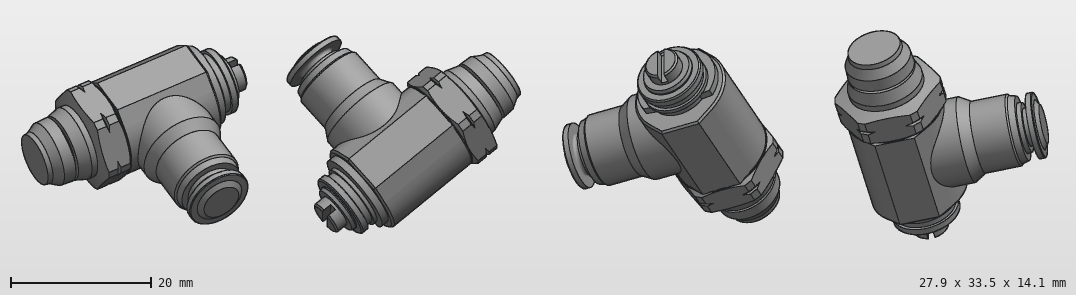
import cadquery as cq
import math

OVERALL_LENGTH = 33.5
OVERALL_WIDTH = 27.87
ACROSS_FLATS = 14.05
BODY_RADIUS = ACROSS_FLATS / 2
ACROSS_CORNERS = 15.5
CORNER_RADIUS = ACROSS_CORNERS / 2

HEX_START = 7.2
HEX_END = 11.72
BODY_START = 11.93
BODY_END = 26.75
CLIP_END = 27.9

LOWER_CHAMFER_RADIUS = 5.65
LOWER_CHAMFER_HEIGHT = 0.57
UPPER_CHAMFER_HEIGHT = 0.4
HEX_NOTCH_POSITION = 9.5
HEX_NOTCH_DEPTH = 0.37
HEX_NOTCH_HALF_WIDTH = 0.25

BODY_CHAMFER = 0.3
SPACER_RADIUS = 6.9

CLIP_RADIUS = 6.03
CLIP_OFFSET = 0.5
CLIP_OUTER_END_Z = -2.65
CLIP_INNER_END_Z = -2.85
CORE_RADIUS = 4.5

SCREW_RADIUS = 2.55
SCREW_CHAMFER = 0.27
SLOT_WIDTH = 1.0
SLOT_DEPTH = 1.5

BRANCH_POSITION = 19.23
BRANCH_LENGTH = OVERALL_WIDTH - CORNER_RADIUS
ROOT_RADIUS = 6.25
ROOT_END = 8.78
BARREL_RADIUS = 5.25
BARREL_START = 10.5
BARREL_END = 15.75
BARREL_CHAMFER = 0.27
COLLAR_END = 17.02
COLLAR_END_RADIUS = 4.72
SLEEVE_STEP_RADIUS = 3.72
SLEEVE_STEP_END = 17.7
SLEEVE_STEP_END_RADIUS = 3.62
NECK_RADIUS = 2.78
NECK_FILLET = 0.45
FLANGE_START = 18.6
FLANGE_RADIUS = 4.8
FLANGE_END = 19.5
FLANGE_CHAMFER = 0.15
NOSE_START = 19.55
NOSE_RADIUS = 3.65
NOSE_END_RADIUS = 2.85


def extrude_along_y(sketch, start, end):
    """Extrude an outline drawn on the XZ plane from start to end along +Y."""
    return sketch.extrude(start - end).translate((0, start, 0))


def revolve_about_y(points):
    """Revolve a closed profile of (radius, y) points about the stem axis."""
    return cq.Workplane("XY").polyline(points).close().revolve(360, (0, 0, 0), (0, 1, 0))


def make_plug():
    """Tapered, ringed plug below the hexagon."""
    tip_radius = 3.85
    tip_band_radius = 4.0
    tip_band_end = 0.75
    taper_radius = 4.82
    taper_end = 2.15
    groove_radius = 4.05
    lip_radius = 4.92
    base_radius = 5.53
    lip_end = 4.0
    groove_start = 4.2
    groove_end = 4.4
    cone_end = 6.25
    return revolve_about_y([
        (0, 0), (tip_radius, 0), (tip_band_radius, tip_band_end),
        (taper_radius, taper_end), (lip_radius, lip_end),
        (groove_radius, groove_start), (groove_radius, groove_end), (lip_radius, groove_end),
        (base_radius, cone_end), (base_radius, HEX_START), (0, HEX_START),
    ])


def make_hexagon():
    """Hexagon with truncated corners, conical ends and a V notch round its corners."""
    vertex_diameter = ACROSS_FLATS / math.cos(math.pi / 6)
    truncating_diameter = ACROSS_CORNERS / math.cos(math.pi / 6)
    hexagon = extrude_along_y(cq.Workplane("XZ").polygon(6, vertex_diameter), HEX_START, HEX_END)
    truncation = extrude_along_y(
        cq.Workplane("XZ").transformed(rotate=(0, 0, 30)).polygon(6, truncating_diameter),
        HEX_START, HEX_END)
    envelope_radius = truncating_diameter / 2
    lower_slope = LOWER_CHAMFER_HEIGHT / (CORNER_RADIUS - LOWER_CHAMFER_RADIUS)
    upper_slope = UPPER_CHAMFER_HEIGHT / (CORNER_RADIUS - BODY_RADIUS)
    lower_rim = HEX_START + lower_slope * (envelope_radius - LOWER_CHAMFER_RADIUS)
    upper_rim = HEX_END - upper_slope * (envelope_radius - BODY_RADIUS)
    notch_reach = envelope_radius - CORNER_RADIUS + HEX_NOTCH_DEPTH
    notch_rim_half_width = HEX_NOTCH_HALF_WIDTH * notch_reach / HEX_NOTCH_DEPTH
    envelope = revolve_about_y([
        (0, HEX_START), (LOWER_CHAMFER_RADIUS, HEX_START),
        (envelope_radius, lower_rim),
        (envelope_radius, HEX_NOTCH_POSITION - notch_rim_half_width),
        (CORNER_RADIUS - HEX_NOTCH_DEPTH, HEX_NOTCH_POSITION),
        (envelope_radius, HEX_NOTCH_POSITION + notch_rim_half_width),
        (envelope_radius, upper_rim),
        (BODY_RADIUS, HEX_END), (0, HEX_END),
    ])
    return hexagon.intersect(truncation).intersect(envelope)


def make_body():
    """Body with octagonal flats above and below and round sides tangent to them."""
    half_flat = BODY_RADIUS * math.tan(math.pi / 8)
    tangent = BODY_RADIUS * math.cos(math.pi / 4)
    outline = (
        cq.Workplane("XZ")
        .moveTo(-half_flat, BODY_RADIUS)
        .lineTo(half_flat, BODY_RADIUS)
        .lineTo(tangent, tangent)
        .threePointArc((BODY_RADIUS, 0), (tangent, -tangent))
        .lineTo(half_flat, -BODY_RADIUS)
        .lineTo(-half_flat, -BODY_RADIUS)
        .lineTo(-tangent, -tangent)
        .threePointArc((-BODY_RADIUS, 0), (-tangent, tangent))
        .close()
    )
    return extrude_along_y(outline, BODY_START, BODY_END).faces(">Y").chamfer(BODY_CHAMFER)


def make_spacer():
    """Thin round disc between the hexagon and the body."""
    return extrude_along_y(cq.Workplane("XZ").circle(SPACER_RADIUS), HEX_END, BODY_START)


def make_clip():
    """Eccentric retaining clip, open below, with slightly sloping ends."""
    disc = extrude_along_y(
        cq.Workplane("XZ").center(0, CLIP_OFFSET).circle(CLIP_RADIUS), BODY_END, CLIP_END)
    end_x = math.sqrt(CLIP_RADIUS**2 - (CLIP_OUTER_END_Z - CLIP_OFFSET)**2)
    inner_x = math.sqrt(CORE_RADIUS**2 - CLIP_INNER_END_Z**2)
    opening = (
        cq.Workplane("XZ")
        .moveTo(-end_x, CLIP_OUTER_END_Z)
        .lineTo(-inner_x, CLIP_INNER_END_Z)
        .lineTo(inner_x, CLIP_INNER_END_Z)
        .lineTo(end_x, CLIP_OUTER_END_Z)
        .lineTo(CLIP_RADIUS, -CLIP_RADIUS)
        .lineTo(-CLIP_RADIUS, -CLIP_RADIUS)
        .close()
    )
    return disc.cut(extrude_along_y(opening, BODY_END, CLIP_END))


def make_head():
    """Ringed head above the body, ending in a slotted adjusting screw."""
    ring_radius = 4.92
    groove_start = 28.5
    groove_end = 29.6
    ring_end = 30.75
    ring_chamfer = 0.2
    shoulder_radius = 3.75
    shoulder_top_radius = 3.55
    shoulder_cone_start = 30.95
    shoulder_end = 31.52
    head = revolve_about_y([
        (0, BODY_END), (CORE_RADIUS, BODY_END),
        (CORE_RADIUS, CLIP_END), (ring_radius, CLIP_END),
        (ring_radius, groove_start), (CORE_RADIUS, groove_start),
        (CORE_RADIUS, groove_end), (ring_radius, groove_end),
        (ring_radius, ring_end - ring_chamfer), (ring_radius - ring_chamfer, ring_end),
        (shoulder_radius, ring_end), (shoulder_radius, shoulder_cone_start),
        (shoulder_top_radius, shoulder_end),
        (SCREW_RADIUS, shoulder_end), (SCREW_RADIUS, OVERALL_LENGTH - SCREW_CHAMFER),
        (SCREW_RADIUS - SCREW_CHAMFER, OVERALL_LENGTH), (0, OVERALL_LENGTH),
    ])
    slot = cq.Workplane("XY").box(SLOT_WIDTH, SLOT_DEPTH, 2 * SCREW_RADIUS)
    return head.cut(slot.translate((0, OVERALL_LENGTH - SLOT_DEPTH / 2, 0)))


def make_branch():
    """Stepped tube branch with a flanged release sleeve at its end."""
    fillet_mid = NECK_FILLET * math.sqrt(0.5)
    fillet_start = FLANGE_START - NECK_FILLET
    profile = (
        cq.Workplane("XY")
        .moveTo(0, 0)
        .lineTo(0, ROOT_RADIUS)
        .lineTo(ROOT_END, ROOT_RADIUS)
        .lineTo(BARREL_START, BARREL_RADIUS)
        .lineTo(BARREL_END, BARREL_RADIUS)
        .lineTo(BARREL_END + BARREL_CHAMFER, BARREL_RADIUS - BARREL_CHAMFER)
        .lineTo(COLLAR_END, COLLAR_END_RADIUS)
        .lineTo(COLLAR_END, SLEEVE_STEP_RADIUS)
        .lineTo(SLEEVE_STEP_END, SLEEVE_STEP_END_RADIUS)
        .lineTo(SLEEVE_STEP_END, NECK_RADIUS)
        .lineTo(fillet_start, NECK_RADIUS)
        .threePointArc(
            (fillet_start + fillet_mid, NECK_RADIUS + NECK_FILLET - fillet_mid),
            (FLANGE_START, NECK_RADIUS + NECK_FILLET))
        .lineTo(FLANGE_START, FLANGE_RADIUS)
        .lineTo(FLANGE_END - FLANGE_CHAMFER, FLANGE_RADIUS)
        .lineTo(FLANGE_END, FLANGE_RADIUS - FLANGE_CHAMFER)
        .lineTo(NOSE_START, NOSE_RADIUS)
        .lineTo(BRANCH_LENGTH, NOSE_END_RADIUS)
        .lineTo(BRANCH_LENGTH, 0)
        .close()
    )
    branch = profile.revolve(360, (0, 0, 0), (1, 0, 0))
    return branch.translate((0, BRANCH_POSITION, 0))


result = make_plug()
for section in (make_hexagon(), make_spacer(), make_body(), make_clip(), make_head(), make_branch()):
    result = result.union(section)